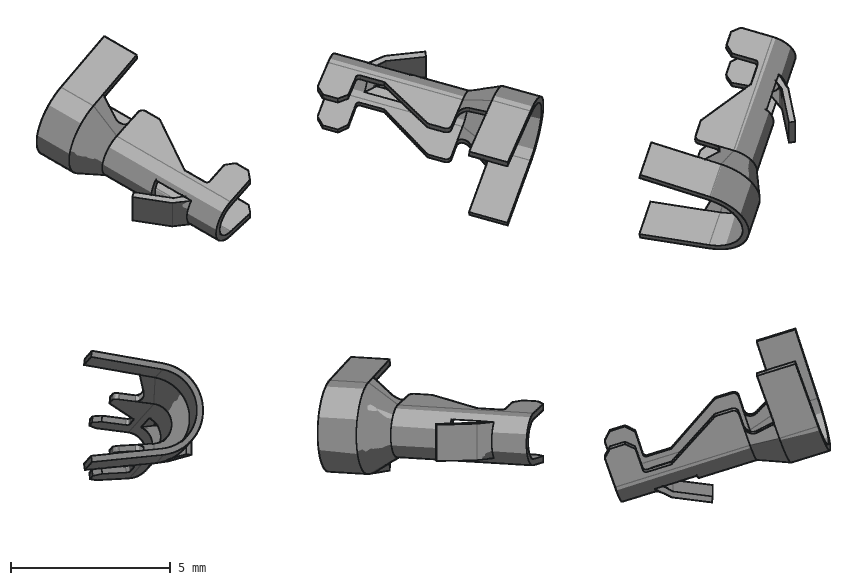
import cadquery as cq
import math

wall = 0.2
length = 6.73

wide_radius = 1.48
wide_tilt = math.radians(7.9)
wide_length = 1.27
wide_height = 3.57

narrow_radius = 0.84
narrow_tilt = math.radians(5.3)
narrow_start = 2.28
narrow_bottom = 0.385

wing_top = 2.42
web_top = 1.305
front_wing_flat_end = 3.01
front_wing_slope_end = 4.82
rear_wing_start = 5.72
rear_wing_chamfer = 0.255
wing_corner_radius = 0.17
web_corner_radius = 0.11

funnel_wide_height = 1.79
funnel_low_x = 1.93
funnel_low_height = 1.54
funnel_narrow_height = 1.75
funnel_blank_height = 2.355

window_start = 4.2
window_end = 5.59
tab_half_width = 0.58
tab_bend_x = 5.17
tab_bend_y = 0.18
tab_length = 1.27
tab_angle = math.radians(25.7)


def tangent_point(radius, tilt, bottom):
    """(y, z) where the outer arc of a U meets its straight leg."""
    return bottom + radius * (1 - math.sin(tilt)), radius * math.cos(tilt)


def u_section(x, radius, tilt, bottom, height):
    """Closed U profile at x, its legs cut square so the inner corners reach height."""
    inner_radius = radius - wall
    center_y = bottom + radius
    sin_t = math.sin(tilt)
    cos_t = math.cos(tilt)
    leg = (height - center_y + inner_radius * sin_t) / cos_t

    def leg_points(r):
        start = (center_y - r * sin_t, r * cos_t)
        end = (start[0] + leg * cos_t, start[1] + leg * sin_t)
        return start, end

    def mirrored(point):
        return point[0], -point[1]

    outer_start, outer_end = leg_points(radius)
    inner_start, inner_end = leg_points(inner_radius)
    return (
        cq.Workplane("YZ", origin=(x, 0, 0))
        .moveTo(*outer_end)
        .lineTo(*outer_start)
        .threePointArc((bottom, 0), mirrored(outer_start))
        .lineTo(*mirrored(outer_end))
        .lineTo(*mirrored(inner_end))
        .lineTo(*mirrored(inner_start))
        .threePointArc((bottom + wall, 0), inner_start)
        .lineTo(*inner_end)
        .close()
    )


def ruled_loft(first, second):
    return cq.Workplane(cq.Solid.makeLoft([first, second], True))


def make_wide_u():
    return u_section(0, wide_radius, wide_tilt, 0, wide_height).extrude(wide_length)


def make_funnel():
    """Loft between the two U sections, trimmed along its upper edge."""
    wide = u_section(wide_length, wide_radius, wide_tilt, 0, funnel_blank_height)
    narrow = u_section(narrow_start, narrow_radius, narrow_tilt, narrow_bottom, funnel_blank_height)
    blank = ruled_loft(wide.wire().val(), narrow.wire().val())
    keep = (
        cq.Workplane("XY")
        .moveTo(wide_length, -0.07)
        .lineTo(wide_length, funnel_wide_height)
        .lineTo(funnel_low_x, funnel_low_height)
        .tangentArcPoint((narrow_start, funnel_narrow_height), relative=False)
        .lineTo(narrow_start, -0.07)
        .close()
        .extrude(2 * wide_radius, both=True)
    )
    return blank.intersect(keep)


def make_wing():
    """Flat leg of the narrow U on the +Z side, carrying both wings."""
    tangent_y, tangent_z = tangent_point(narrow_radius, narrow_tilt, narrow_bottom)
    plane = cq.Plane(
        origin=(0, tangent_y, tangent_z),
        xDir=(1, 0, 0),
        normal=(0, -math.sin(narrow_tilt), math.cos(narrow_tilt)),
    )

    def along_leg(y):
        return (y - tangent_y) / math.cos(narrow_tilt)

    top = along_leg(wing_top)
    web = along_leg(web_top)
    outline = [
        (narrow_start, 0),
        (narrow_start, top),
        (front_wing_flat_end, top),
        (front_wing_slope_end, web),
        (rear_wing_start, web),
        (rear_wing_start, top - rear_wing_chamfer),
        (rear_wing_start + rear_wing_chamfer, top),
        (length - rear_wing_chamfer, top),
        (length, top - rear_wing_chamfer),
        (length, 0),
    ]
    leg = cq.Workplane(plane).polyline(outline).close().extrude(-wall)

    def round_corner(body, x, height, radius):
        corner = plane.toWorldCoords((x, height, -wall / 2))
        return body.edges(cq.selectors.NearestToPointSelector(corner.toTuple())).fillet(radius)

    leg = round_corner(leg, narrow_start, top, wing_corner_radius)
    leg = round_corner(leg, front_wing_flat_end, top, wing_corner_radius)
    return round_corner(leg, rear_wing_start, web, web_corner_radius)


def make_narrow_u():
    """Curved trough with the tab window cut through it, plus the two winged legs."""
    profile = u_section(narrow_start, narrow_radius, narrow_tilt, narrow_bottom, web_top)
    trough = profile.extrude(length - narrow_start)
    window = cq.Workplane("XY").box(
        window_end - window_start, 2 * narrow_radius, 2 * tab_half_width, centered=(False, True, True)
    ).translate((window_start, narrow_bottom, 0))
    wing = make_wing()
    return trough.cut(window).union(wing).union(wing.mirror("XY"))


def make_tab():
    """Flat tab, and the neck blending it into the curved end of the window."""
    plane = cq.Plane(
        origin=(tab_bend_x, tab_bend_y, 0),
        xDir=(0, 0, 1),
        normal=(-math.cos(tab_angle), -math.sin(tab_angle), 0),
    )
    flat_end = [
        (-tab_half_width, 0),
        (tab_half_width, 0),
        (tab_half_width, wall),
        (-tab_half_width, wall),
    ]
    bend = cq.Workplane(plane).polyline(flat_end).close()
    flat = bend.extrude(tab_length)

    center_y = narrow_bottom + narrow_radius
    outer_y = center_y - math.sqrt(narrow_radius**2 - tab_half_width**2)
    inner_y = center_y - math.sqrt((narrow_radius - wall) ** 2 - tab_half_width**2)
    root = (
        cq.Workplane("YZ", origin=(window_end, 0, 0))
        .moveTo(outer_y, -tab_half_width)
        .threePointArc((narrow_bottom, 0), (outer_y, tab_half_width))
        .lineTo(inner_y, tab_half_width)
        .threePointArc((narrow_bottom + wall, 0), (inner_y, -tab_half_width))
        .close()
    )
    return flat.union(ruled_loft(bend.wire().val(), root.wire().val()))


result = make_wide_u().union(make_funnel()).union(make_narrow_u()).union(make_tab())